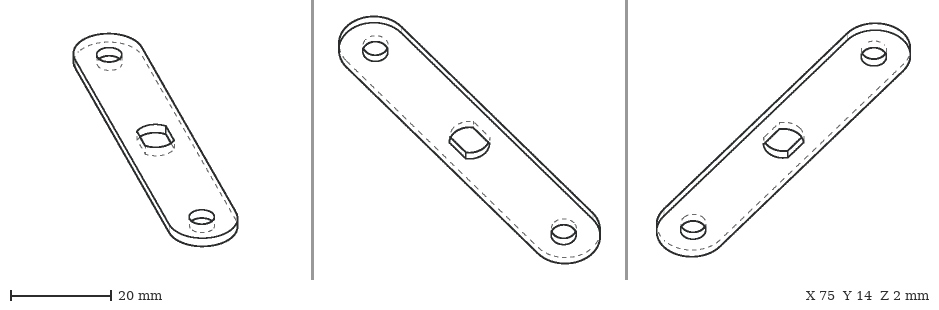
import cadquery as cq

length = 75.0
width = 14.0
thickness = 2.0

hole_spacing = 60.0
hole_diameter = 5.0

center_hole_diameter = 8.0
center_hole_flats = 6.1

plate = cq.Workplane("XY").slot2D(length, width).extrude(thickness)

end_holes = (
    cq.Workplane("XY")
    .pushPoints([(-hole_spacing / 2, 0), (hole_spacing / 2, 0)])
    .circle(hole_diameter / 2)
    .extrude(thickness)
)

flats_band = cq.Workplane("XY").rect(center_hole_diameter, center_hole_flats).extrude(thickness)
center_hole = (
    cq.Workplane("XY")
    .circle(center_hole_diameter / 2)
    .extrude(thickness)
    .intersect(flats_band)
)

result = plate.cut(end_holes).cut(center_hole)